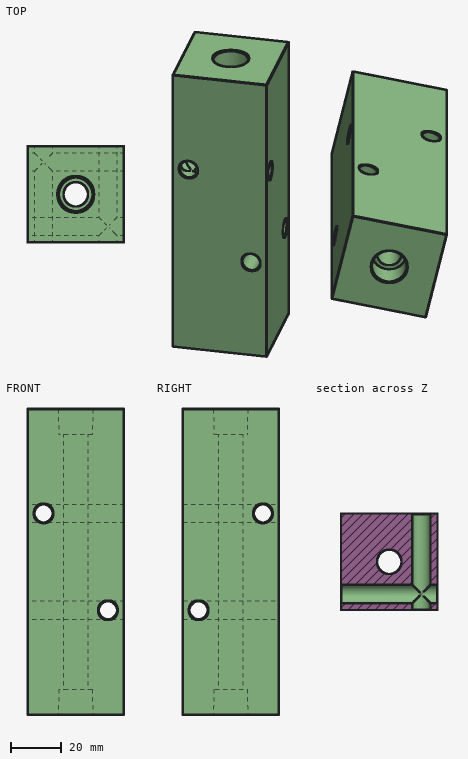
import cadquery as cq

width = 38.1
height = 120.6
edge_chamfer = 0.28

bore_diameter = 9.5
port_diameter = 13.6
port_floor_diameter = 13.2
port_depth = 10.1
port_rim_diameter = 14.6

cross_diameter = 7.1
cross_rim_diameter = 7.8
cross_offset = 12.7
cross_rise = 19.1


def port_cutter(end):
    """Tapered port with a 45 degree rim, entering the end face at +Z (end=1) or -Z (end=-1)."""
    face_z = end * height / 2
    rim_depth = (port_rim_diameter - port_diameter) / 2
    profile = [
        (0, face_z),
        (port_rim_diameter / 2, face_z),
        (port_diameter / 2, face_z - end * rim_depth),
        (port_floor_diameter / 2, face_z - end * port_depth),
        (0, face_z - end * port_depth),
    ]
    return cq.Workplane("XZ").polyline(profile).close().revolve(360, (0, 0, 0), (0, 1, 0))


def cross_hole_cutter(offset, rise):
    """Through hole along Y at X = offset, Z = rise, with a 45 degree rim at both faces."""
    rim_depth = (cross_rim_diameter - cross_diameter) / 2
    profile = [
        (offset, -width / 2),
        (offset + cross_rim_diameter / 2, -width / 2),
        (offset + cross_diameter / 2, -width / 2 + rim_depth),
        (offset + cross_diameter / 2, width / 2 - rim_depth),
        (offset + cross_rim_diameter / 2, width / 2),
        (offset, width / 2),
    ]
    outline = cq.Workplane("XY", origin=(0, 0, rise)).polyline(profile).close()
    return outline.revolve(360, (offset, 0, 0), (offset, 1, 0))


body = cq.Workplane("XY").box(width, width, height).edges().chamfer(edge_chamfer)

body = body.cut(cq.Workplane("XY").circle(bore_diameter / 2).extrude(height / 2, both=True))
for end in (1, -1):
    body = body.cut(port_cutter(end))

for side in (1, -1):
    along_y = cross_hole_cutter(-side * cross_offset, side * cross_rise)
    along_x = along_y.rotate((0, 0, 0), (0, 0, 1), -90)
    body = body.cut(along_y).cut(along_x)

result = body